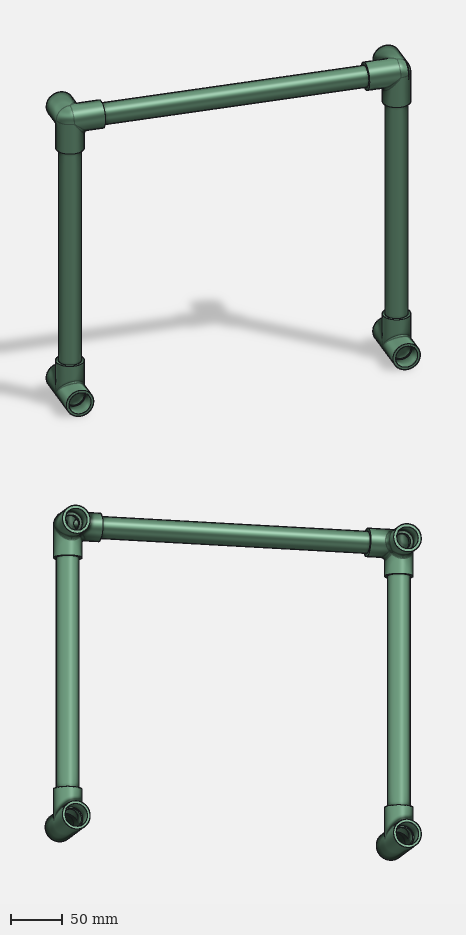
import cadquery as cq

frame_width = 360.11
frame_height = 320.0

arm_length = 31.75
socket_depth = 17.5
corner_diameter = 27.78
corner_socket_diameter = 21.59
corner_bore_diameter = 15.8
corner_fillet = 3.2
tee_diameter = 27.89
tee_socket_diameter = 22.39
tee_bore_diameter = 19.94
tee_fillet = 1.6

post_diameter = tee_socket_diameter
crossbar_diameter = corner_socket_diameter
crossbar_overrun = 9.25

post_y = (frame_width - max(corner_diameter, tee_diameter)) / 2
corner_z = (frame_height - corner_diameter) / 2
tee_z = (tee_diameter - frame_height) / 2
socket_floor = arm_length - socket_depth
post_bottom = tee_z + socket_floor
post_top = corner_z - socket_floor
crossbar_front = socket_floor - post_y
crossbar_back = post_y + crossbar_overrun

ORIGIN = cq.Vector(0, 0, 0)
LEFT = cq.Vector(-1, 0, 0)
RIGHT = cq.Vector(1, 0, 0)
BACK = cq.Vector(0, 1, 0)
UP = cq.Vector(0, 0, 1)
DOWN = cq.Vector(0, 0, -1)


def rod(diameter, start, direction, length):
    """A solid cylinder that runs from start along direction."""
    return cq.Workplane(cq.Solid.makeCylinder(diameter / 2, length, start, direction))


def arm(diameter, direction):
    """A cylinder from a fitting's centre to the end of one arm."""
    return rod(diameter, ORIGIN, direction, arm_length)


def open_socket(diameter, direction):
    """The recess at the end of an arm that holds no pipe."""
    return rod(diameter, direction * socket_floor, direction, socket_depth)


def make_crossbar():
    """The level pipe between the two corners."""
    front_end = cq.Vector(0, crossbar_front, corner_z)
    return rod(crossbar_diameter, front_end, BACK, crossbar_back - crossbar_front)


def make_post(y):
    """An upright pipe from a tee to a corner."""
    return rod(post_diameter, cq.Vector(0, y, post_bottom), UP, post_top - post_bottom)


def make_corner(y, post, crossbar):
    """A three-way elbow with a ball at its centre; its open arm points to -X."""
    inward = BACK if y < 0 else -BACK
    body = cq.Workplane().sphere(corner_diameter / 2)
    for direction in (LEFT, inward, DOWN):
        body = body.union(arm(corner_diameter, direction))
    body = body.edges("%ELLIPSE").fillet(corner_fillet)
    wall = rod(post_diameter, DOWN * arm_length, UP, 2 * arm_length)
    body = body.cut(arm(corner_bore_diameter, LEFT).cut(wall)).cut(open_socket(corner_socket_diameter, LEFT))
    return body.translate((0, y, corner_z)).cut(post).cut(crossbar)


def make_tee(y, post):
    """A tee whose run lies along X, open at both ends; its branch points up."""
    body = arm(tee_diameter, UP)
    body = body.union(rod(tee_diameter, LEFT * arm_length, RIGHT, 2 * arm_length))
    body = body.edges("%ELLIPSE").fillet(tee_fillet)
    for direction in (LEFT, RIGHT):
        body = body.cut(arm(tee_bore_diameter, direction)).cut(open_socket(tee_socket_diameter, direction))
    body = body.cut(arm(tee_bore_diameter, UP))
    return body.translate((0, y, tee_z)).cut(post)


crossbar = make_crossbar()
bodies = [crossbar.val()]
for side_y in (-post_y, post_y):
    side_post = make_post(side_y)
    side_corner = make_corner(side_y, side_post, crossbar)
    side_tee = make_tee(side_y, side_post)
    bodies += [side_post.val(), side_corner.solids().val(), side_tee.solids().val()]

result = cq.Compound.makeCompound(bodies)